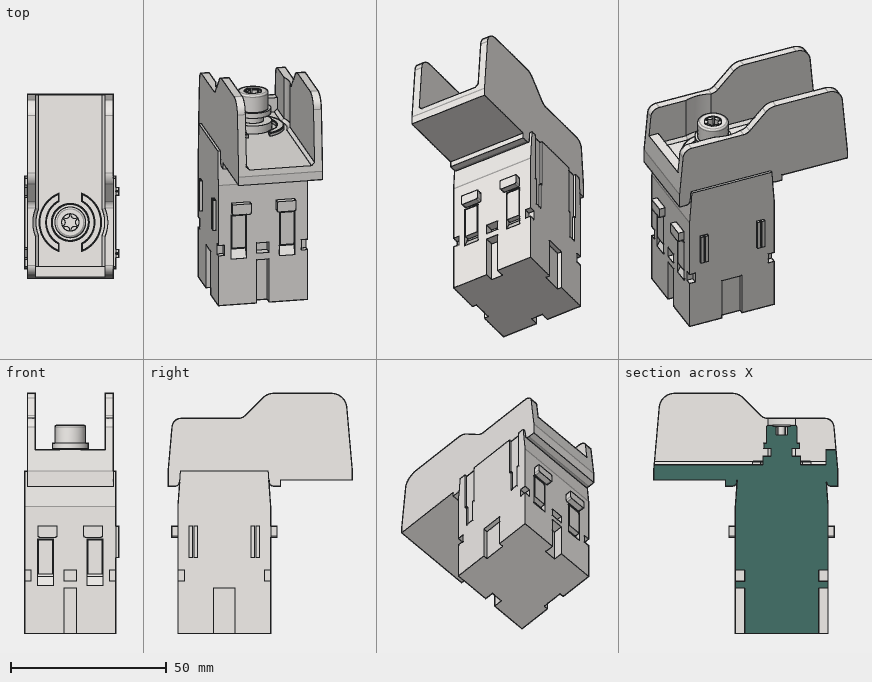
import cadquery as cq
import math


body_width = 29.4
body_depth = 29.9
body_height = 52.25
taper_start = 40.8
taper_inset = 0.85

cap_width = 27.7
cap_front = -18.1
cap_back = 41.2
cap_top = 77.3
cap_bottom = 49.4
cap_low_rim = 69.25
shoulder_y = 13.8
slope_start = 52.25
wall_slope = math.tan(math.radians(5))
large_radius = 5.0
small_radius = 3.0
lip_bottom = 47.4
lip_thickness = 3.7
lip_radius = 1.5

trough_width = 22.4
sill_top = 59.1
sill_back = -14.2
floor_z = 54.35
floor_chamfer = 1.0
clearance_radius = 12.05

rib_outer = 10.05
rib_inner = 7.65
rib_gap = 7.2
rib_height = 1.15
rib_edge = 0.27
boss_radius = 6.1
boss_top = 57.05

shank_radius = 3.5
washer_radius = 5.8
washer_bottom = 59.5
washer_top = 61.2
head_radius = 4.95
head_top = 67.0
head_fillet = 0.6
socket_radius = 2.8
socket_rim_depth = 0.4
socket_depth = 3.1
socket_lobes = 6
socket_bulge_radius = 1.15

catch_centre = 7.35
catch_width = 6.1
catch_bottom = 31.0
catch_height = 3.55
catch_reach = 2.0
catch_fillet = 0.55
window_top = 30.45
window_bottom = 15.5
window_tongue_end = 19.25
window_ramp_top = 18.4
window_depth = 1.55
window_step = 0.15
tongue_gap = 0.3
window_inner = 5.4
window_outer = 10.5
pocket_width = 4.1
pocket_bottom = 16.9
pocket_height = 3.5
pocket_depth = 3.0
notch_x = 2.0
notch_y = 2.1
groove_height = 14.7
front_groove_width = 4.1
front_groove_depth = 3.0
side_groove_width = 7.0
side_groove_depth = 1.5

slot_centre = 10.0
slot_width = 3.95
slot_step = 34.55
peg_width = 2.6
peg_bottom = 24.4
peg_reach = 0.9
slot_depth = 0.8
peg_gap = 0.4


def block(x0, x1, y0, y1, z0, z1):
    return cq.Workplane("XY").box(x1 - x0, y1 - y0, z1 - z0, centered=False).translate((x0, y0, z0))


def centred_block(width, depth, z0, z1, x=0, y=0):
    return cq.Workplane("XY").box(width, depth, z1 - z0, centered=(True, True, False)).translate((x, y, z0))


def cylinder(radius, z0, z1):
    return cq.Workplane("XY").workplane(offset=z0).circle(radius).extrude(z1 - z0)


def side_profile(points, x0, x1):
    """Extrude a (Y, Z) outline from x0 to x1."""
    return cq.Workplane("YZ").workplane(offset=x0).polyline(points).close().extrude(x1 - x0)


def front_and_back(shape):
    return shape.union(shape.mirror("XZ"))


def make_body():
    y_low = body_depth / 2
    y_high = y_low - taper_inset
    outline = [
        (-y_low, 0),
        (y_low, 0),
        (y_low, taper_start),
        (y_high, body_height),
        (-y_high, body_height),
        (-y_low, taper_start),
    ]
    return side_profile(outline, -body_width / 2, body_width / 2)


def make_cap():
    front_top = cap_front + (cap_low_rim - slope_start) * wall_slope
    back_top = cap_back - (cap_top - slope_start) * wall_slope
    shoulder_foot = shoulder_y - (cap_top - cap_low_rim)
    outline = [
        (cap_front, cap_bottom),
        (cap_back, cap_bottom),
        (cap_back, slope_start),
        (back_top, cap_top),
        (shoulder_y, cap_top),
        (shoulder_foot, cap_low_rim),
        (front_top, cap_low_rim),
        (cap_front, slope_start),
    ]
    cap = side_profile(outline, -cap_width / 2, cap_width / 2)
    rounded = [
        (back_top, cap_top, large_radius),
        (shoulder_y, cap_top, large_radius),
        (shoulder_foot, cap_low_rim, small_radius),
        (front_top, cap_low_rim, small_radius),
    ]
    for y, z, radius in rounded:
        cap = cap.edges(cq.NearestToPointSelector((0, y, z))).fillet(radius)
    lip = block(
        -cap_width / 2, cap_width / 2, cap_front, cap_front + lip_thickness, lip_bottom, slope_start
    )
    lip = lip.edges(">Y and <Z").fillet(lip_radius)
    return cap.union(front_and_back(lip))


def make_trough():
    """Open channel above the floor, with its lower edges chamfered and room for the screw."""
    half = trough_width / 2
    channel_length = cap_back - sill_back
    outline = [
        (floor_chamfer - half, floor_z),
        (half - floor_chamfer, floor_z),
        (half, floor_z + floor_chamfer),
        (half, cap_top),
        (-half, cap_top),
        (-half, floor_z + floor_chamfer),
    ]
    channel = cq.Workplane("XZ", origin=(0, cap_back, 0)).polyline(outline).close().extrude(channel_length)
    above_sill = block(-half, half, cap_front, cap_back, sill_top, cap_top)
    clearance = cylinder(clearance_radius, floor_z, cap_top).faces("<Z").chamfer(floor_chamfer)
    return channel.union(above_sill).union(clearance)


def make_ribs():
    ring = cylinder(rib_outer, floor_z, floor_z + rib_height).cut(
        cylinder(rib_inner, floor_z, floor_z + rib_height)
    )
    ribs = ring.cut(centred_block(rib_gap, 2 * rib_outer, floor_z, floor_z + rib_height))
    return ribs.faces(">Z").edges().chamfer(rib_edge)


def make_socket():
    """Six-lobed recess: a round hole narrowed by bulges between the lobes."""
    socket = cylinder(socket_radius, head_top - socket_depth, head_top)
    bulges = (
        cq.Workplane("XY")
        .workplane(offset=head_top - socket_depth)
        .polarArray(socket_radius, 0, 360, socket_lobes)
        .circle(socket_bulge_radius)
        .extrude(socket_depth - socket_rim_depth)
    )
    return socket.cut(bulges)


def make_screw():
    head = cylinder(head_radius, washer_top, head_top).faces(">Z").edges().fillet(head_fillet)
    screw = cylinder(boss_radius, floor_z, boss_top)
    screw = screw.union(cylinder(shank_radius, floor_z, washer_top))
    screw = screw.union(cylinder(washer_radius, washer_bottom, washer_top))
    return screw.union(head).cut(make_socket())


def make_catches():
    """Rounded blocks standing out above the windows."""
    face_y = -body_depth / 2
    catches = cq.Workplane("XY")
    for x in (-catch_centre, catch_centre):
        catch = block(
            x - catch_width / 2,
            x + catch_width / 2,
            face_y - catch_reach,
            face_y,
            catch_bottom,
            catch_bottom + catch_height,
        )
        catches = catches.add(catch.edges("|Y and <Z").fillet(catch_fillet))
    return front_and_back(catches.combine())


def make_windows():
    """Ramped openings mostly filled by tongues that lie flush with the face."""
    face_y = -body_depth / 2
    inner_y = face_y + window_depth + window_step
    outline = [
        (face_y, window_bottom),
        (face_y + window_depth, window_ramp_top),
        (inner_y, window_tongue_end),
        (inner_y, window_top),
        (face_y, window_top),
    ]
    window = side_profile(outline, window_inner, window_outer)
    tongue = block(
        window_inner + tongue_gap,
        window_outer - tongue_gap,
        face_y,
        inner_y,
        window_tongue_end,
        window_top - tongue_gap,
    )
    window = window.cut(tongue)
    return front_and_back(window.union(window.mirror("YZ")))


def make_pockets():
    """Square pocket in the middle of the front and back, and a notch in each body corner."""
    face_y = -body_depth / 2
    pocket_top = pocket_bottom + pocket_height
    pockets = block(
        -pocket_width / 2, pocket_width / 2, face_y, face_y + pocket_depth, pocket_bottom, pocket_top
    )
    for side in (-1, 1):
        notch = centred_block(
            2 * notch_x, 2 * notch_y, pocket_bottom, pocket_top, side * body_width / 2, face_y
        )
        pockets = pockets.union(notch)
    return front_and_back(pockets)


def make_grooves():
    """Grooves rising from the bottom edge of all four sides."""
    grooves = cq.Workplane("XY")
    for side in (-1, 1):
        grooves = grooves.add(
            centred_block(
                front_groove_width, 2 * front_groove_depth, 0, groove_height, 0, side * body_depth / 2
            )
        )
        grooves = grooves.add(
            centred_block(
                2 * side_groove_depth, side_groove_width, 0, groove_height, side * body_width / 2, 0
            )
        )
    return grooves.combine()


def make_slots():
    slots = cq.Workplane("XY")
    for y in (-slot_centre, slot_centre):
        slots = slots.add(
            centred_block(2 * slot_depth, slot_width, slot_step, body_height, -body_width / 2, y)
        )
        slots = slots.add(
            centred_block(2 * slot_depth, peg_width, peg_bottom, slot_step, -body_width / 2, y)
        )
    return slots.combine()


def make_pegs():
    pegs = cq.Workplane("XY")
    for y in (-slot_centre, slot_centre):
        peg = centred_block(2 * peg_reach, peg_width, peg_bottom, slot_step, body_width / 2, y)
        gap = block(
            body_width / 2,
            body_width / 2 + peg_reach,
            y - peg_gap / 2,
            y + peg_gap / 2,
            peg_bottom,
            slot_step,
        )
        pegs = pegs.add(peg.cut(gap))
    return pegs.combine()


body = make_body()
for cutter in (make_windows(), make_pockets(), make_grooves(), make_slots()):
    body = body.cut(cutter)
body = body.union(make_catches()).union(make_pegs())

cap = make_cap().cut(make_trough())
result = body.union(cap).union(make_ribs()).union(make_screw())